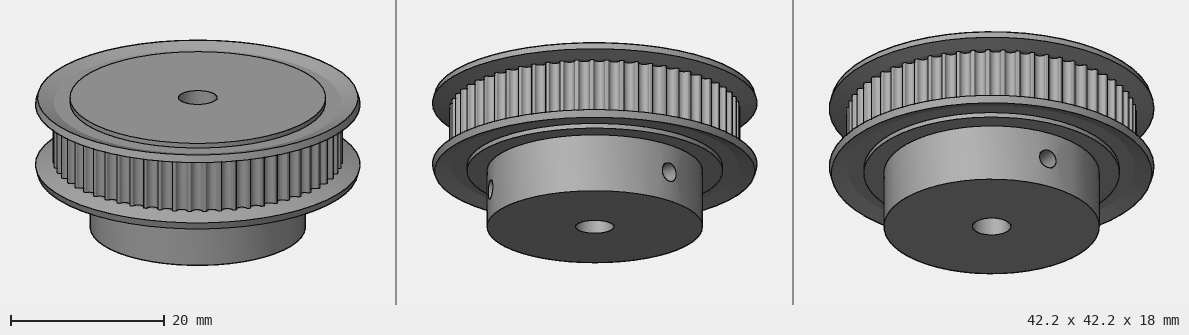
import cadquery as cq
import math

total_height = 18.0
bore_diameter = 5.0

tooth_count = 60
belt_pitch = 2.0
pitch_line_offset = 0.254
rim_radius = tooth_count * belt_pitch / (2 * math.pi) - pitch_line_offset
rim_width = 7.0
groove_radius = 0.74
tooth_tip_rounding = 0.1

flange_radius = 21.11
flange_thickness = 1.0
flange_angle = math.radians(17)
collar_radius = 33.22 / 2
flange_height = (
    (flange_radius - rim_radius) * math.tan(flange_angle)
    + flange_thickness * math.cos(flange_angle)
)

hub_radius = 14.0
hub_height = total_height - rim_width - 2 * flange_height
screw_hole_diameter = 2.5
screw_hole_height = 3.95
screw_hole_angles = (90, 210)

rim_bottom = hub_height + flange_height
rim_top = rim_bottom + rim_width


def cylinder(radius, bottom, top):
    return cq.Workplane("XY").workplane(offset=bottom).circle(radius).extrude(top - bottom)


def polar_point(radius, angle):
    return (radius * math.cos(angle), radius * math.sin(angle))


def toothed_rim():
    rounding_centre_radius = rim_radius - tooth_tip_rounding
    centre_distance = groove_radius + tooth_tip_rounding
    half_opening = math.acos(
        (rounding_centre_radius**2 + rim_radius**2 - centre_distance**2)
        / (2 * rounding_centre_radius * rim_radius)
    )
    tooth_angle = 2 * math.pi / tooth_count

    def rounding_points(groove_angle, side):
        """Tangent point on the groove, middle of the rounding, tangent point on the tip."""
        tip_angle = groove_angle + side * half_opening
        groove_centre = cq.Vector(*polar_point(rim_radius, groove_angle))
        rounding_centre = cq.Vector(*polar_point(rounding_centre_radius, tip_angle))
        tip = cq.Vector(*polar_point(rim_radius, tip_angle))
        to_groove = (groove_centre - rounding_centre).normalized()
        to_tip = (tip - rounding_centre).normalized()
        on_groove = rounding_centre + to_groove * tooth_tip_rounding
        middle = rounding_centre + (to_groove + to_tip).normalized() * tooth_tip_rounding
        return on_groove.toTuple(), middle.toTuple(), tip.toTuple()

    outline = cq.Workplane("XY").moveTo(*polar_point(rim_radius, -half_opening))
    for index in range(tooth_count):
        groove_angle = index * tooth_angle
        groove_start, start_middle, _ = rounding_points(groove_angle, -1)
        groove_end, end_middle, tip_start = rounding_points(groove_angle, 1)
        groove_bottom = polar_point(rim_radius - groove_radius, groove_angle)
        tip_middle = polar_point(rim_radius, groove_angle + tooth_angle / 2)
        tip_end = polar_point(rim_radius, groove_angle + tooth_angle - half_opening)
        outline = (
            outline.threePointArc(start_middle[:2], groove_start[:2])
            .threePointArc(groove_bottom, groove_end[:2])
            .threePointArc(end_middle[:2], tip_start[:2])
            .threePointArc(tip_middle, tip_end)
        )
    bored_rim = outline.close().moveTo(0, 0).circle(bore_diameter / 2).extrude(rim_width)
    return bored_rim.translate((0, 0, rim_bottom))


def upper_flange():
    outer_bend_radius = rim_radius - flange_thickness * math.tan(flange_angle / 2)
    lip_radius = flange_radius - flange_thickness * math.sin(flange_angle)
    lip_corner_height = rim_top + (flange_radius - rim_radius) * math.tan(flange_angle)
    profile = [
        (0, rim_top),
        (rim_radius, rim_top),
        (flange_radius, lip_corner_height),
        (lip_radius, total_height),
        (outer_bend_radius, rim_top + flange_thickness),
        (0, rim_top + flange_thickness),
    ]
    flange = cq.Workplane("XZ").polyline(profile).close().revolve(360, (0, 0), (0, 1))
    collar = cylinder(collar_radius, rim_top, total_height)
    return flange.union(collar)


def lower_flange(flange):
    rim_middle = (rim_bottom + rim_top) / 2
    return flange.mirror("XY", (0, 0, rim_middle))


def screw_hole(angle):
    return (
        cq.Workplane("YZ")
        .center(0, screw_hole_height)
        .circle(screw_hole_diameter / 2)
        .extrude(hub_radius)
        .rotate((0, 0, 0), (0, 0, 1), angle)
    )


def hub():
    body = cylinder(hub_radius, 0, rim_bottom)
    for angle in screw_hole_angles:
        body = body.cut(screw_hole(angle))
    return body


top_flange = upper_flange()
flanged_hub = hub().union(lower_flange(top_flange)).union(top_flange)
bored_body = flanged_hub.cut(cylinder(bore_diameter / 2, 0, total_height))
result = bored_body.union(toothed_rim()).solids()